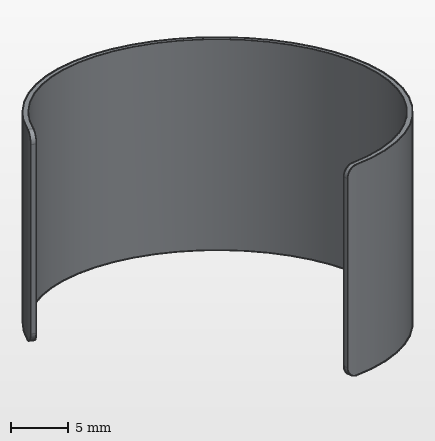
import cadquery as cq
import math

outer_radius = 17.1
wall = 0.5
height = 20.0
end_depth = 9.2
corner_radius = 1.03

inner_radius = outer_radius - wall
end_angle = math.asin(end_depth / outer_radius)


def on_circle(radius, side):
    """Point at an open end of the band; side is +1 for +X and -1 for -X."""
    return (side * radius * math.cos(end_angle), -radius * math.sin(end_angle))


band = (
    cq.Workplane("XY")
    .moveTo(*on_circle(outer_radius, 1))
    .threePointArc((0, outer_radius), on_circle(outer_radius, -1))
    .lineTo(*on_circle(inner_radius, -1))
    .threePointArc((0, inner_radius), on_circle(inner_radius, 1))
    .close()
    .extrude(height)
)

result = band.edges("%LINE and (not |Z)").fillet(corner_radius)